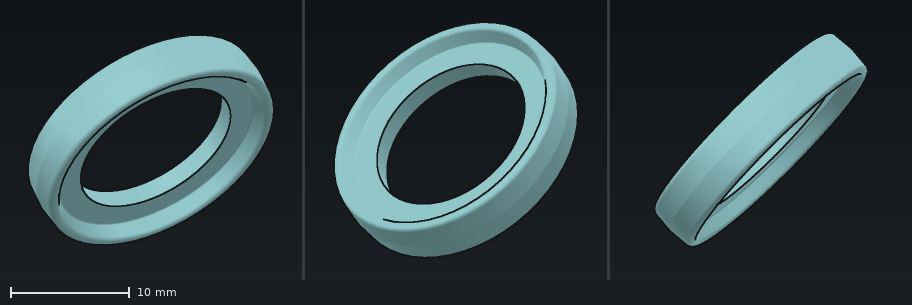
import cadquery as cq
import math

width = 4.5
crown_radius = 10.85
bore_radius = 7.1
web_thickness = 1.78
floor_radius = 9.1
lip_round = 0.5
root_fillet = 0.2
crown_angle = math.radians(5)
recess_angle = math.radians(24)

half_width = width / 2
half_web = web_thickness / 2


def on_arc(center, radius, angle):
    """Point (x, r) on an arc, with the angle measured from +X toward larger r."""
    return (center[0] + radius * math.cos(angle), center[1] + radius * math.sin(angle))


def mirrored(point):
    return (-point[0], point[1])


lip_x = half_width - lip_round
lip_center = (
    lip_x,
    crown_radius - lip_x * math.tan(crown_angle) - lip_round / math.cos(crown_angle),
)
lip_outer = on_arc(lip_center, lip_round, math.pi / 2 - crown_angle)
lip_tip = on_arc(lip_center, lip_round, 0)
lip_inner = on_arc(lip_center, lip_round, recess_angle - math.pi / 2)

root_center = (half_web + root_fillet, floor_radius)
root_wall = on_arc(root_center, root_fillet, math.pi / 2 + recess_angle)
root_middle = on_arc(root_center, root_fillet, (3 * math.pi / 2 + recess_angle) / 2)
root_floor = (half_web, floor_radius)

section = (
    cq.Workplane("XY")
    .moveTo(0, crown_radius)
    .lineTo(*lip_outer)
    .threePointArc(lip_tip, lip_inner)
    .lineTo(*root_wall)
    .threePointArc(root_middle, root_floor)
    .lineTo(half_web, bore_radius)
    .lineTo(-half_web, bore_radius)
    .lineTo(*mirrored(root_floor))
    .threePointArc(mirrored(root_middle), mirrored(root_wall))
    .lineTo(*mirrored(lip_inner))
    .threePointArc(mirrored(lip_tip), mirrored(lip_outer))
    .close()
)

result = section.revolve(360, (0, 0, 0), (1, 0, 0))